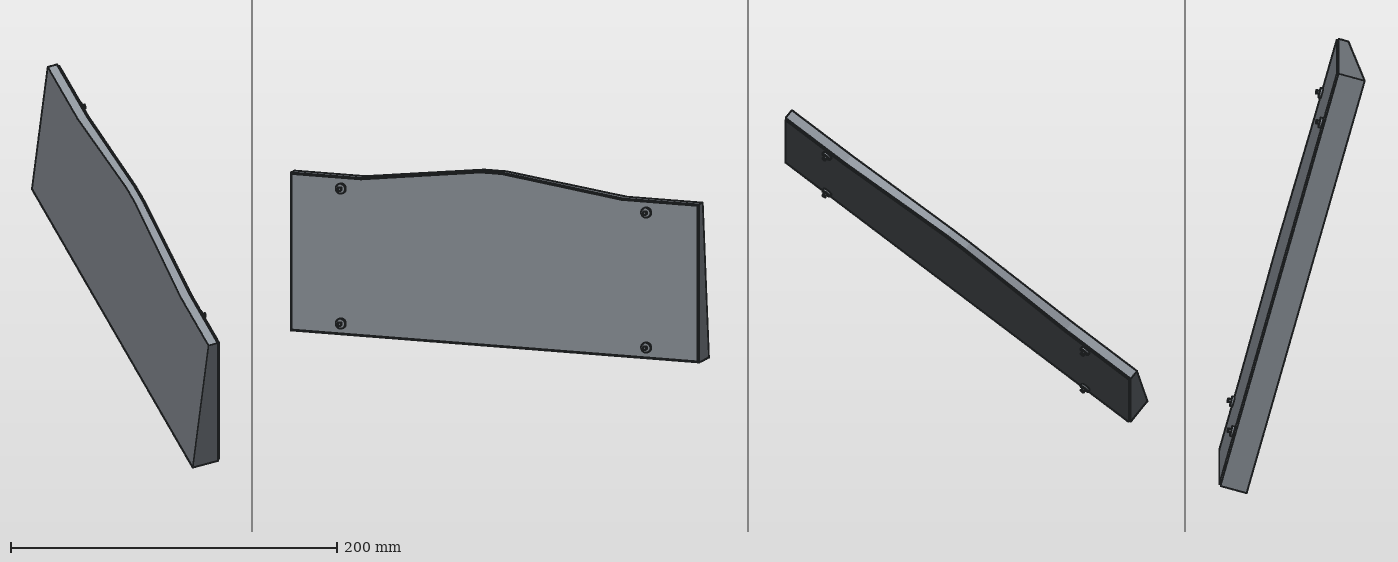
import cadquery as cq
import math

width = 269.0
height = 109.2
total_depth = 21.5
base_depth = 17.8
front_lean = 6.0

step_inset = 0.8
step_depth = 1.0

shoulder_height = 99.0
crest_center = 2.0
crest_half_width = 7.3
slope_foot = 86.0

peg_center = 0.3
peg_half_spacing = 100.5
peg_levels = (7.3, 91.7)
pad_diameter = 6.2
pad_length = 1.5
neck_diameter = 2.0
head_diameter = 2.4
head_length = 0.5
peg_length = total_depth - base_depth


def make_panel_blank():
    """Panel of full base depth with its back face on Y = 0."""
    half_width = width / 2
    outline = [
        (-half_width, 0),
        (half_width, 0),
        (half_width, shoulder_height),
        (crest_center + slope_foot, shoulder_height),
        (crest_center + crest_half_width, height),
        (crest_center - crest_half_width, height),
        (crest_center - slope_foot, shoulder_height),
        (-half_width, shoulder_height),
    ]
    full_profile = cq.Workplane("XZ").polyline(outline).close()
    inset_profile = cq.Workplane("XZ").polyline(outline).close().offset2D(-step_inset)
    front_body = full_profile.extrude(base_depth).translate((0, -step_depth, 0))
    return front_body.union(inset_profile.extrude(base_depth))


def make_wedge():
    """Envelope that gives the panel its thick base and leaning front."""
    top_depth = base_depth - height * math.tan(math.radians(front_lean))
    return (
        cq.Workplane("YZ")
        .polyline([(0, 0), (-base_depth, 0), (-top_depth, height), (0, height)])
        .close()
        .extrude(width / 2, both=True)
    )


def make_peg(x, z):
    """Stepped round peg standing out of the back face along +Y."""
    back = cq.Workplane("XZ", origin=(x, 0, z))
    pad = back.circle(pad_diameter / 2).extrude(-pad_length)
    neck = back.circle(neck_diameter / 2).extrude(-peg_length)
    head = (
        back.workplane(offset=-peg_length)
        .circle(head_diameter / 2)
        .extrude(head_length)
    )
    return pad.union(neck).union(head)


result = make_panel_blank().intersect(make_wedge())
for side in (-1, 1):
    for level in peg_levels:
        result = result.union(make_peg(peg_center + side * peg_half_spacing, level))